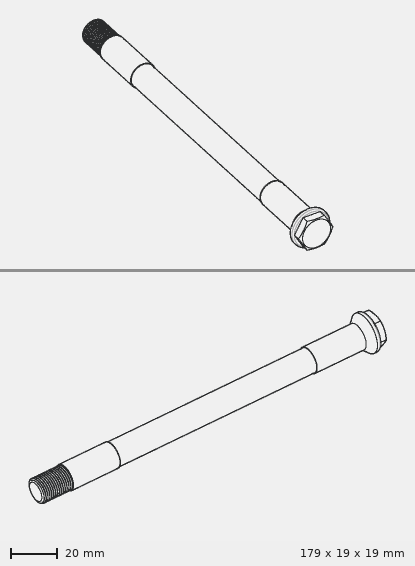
import cadquery as cq
import math

LENGTH = 179.0
TIP_X = -LENGTH / 2
END_X = LENGTH / 2

SHANK_RADIUS = 6.3
RELIEF_RADIUS = 5.9
THREAD_LENGTH = 15.4
TIP_LAND_END = 40.1
HEAD_LAND_START = 143.5

CONE_START = 169.3
CONE_END = 173.0
FLANGE_RADIUS = 9.5
FLANGE_END = 175.0
RIM_FILLET = 0.7

HEX_ACROSS_FLATS = 15.0
HEX_BEVEL_LENGTH = 0.7
HEX_BEVEL_DEPTH = 1.6
OVERLAP = 0.9

THREAD_RADIUS = 5.9
THREAD_PITCH = 1.0
THREAD_DEPTH = 0.7
GROOVE_HALF_WIDTH = 0.41
CUTTER_OVERSHOOT = 0.09
TIP_CHAMFER_LENGTH = 0.9
TIP_CHAMFER_DEPTH = 1.8


def make_body():
    """Revolve the shank and conical flange as one stepped profile."""
    thread_end = TIP_X + THREAD_LENGTH
    relief_start = TIP_X + TIP_LAND_END
    relief_end = TIP_X + HEAD_LAND_START
    cone_start = TIP_X + CONE_START
    cone_end = TIP_X + CONE_END
    flange_end = TIP_X + FLANGE_END
    profile = [
        (thread_end, 0),
        (thread_end, SHANK_RADIUS),
        (relief_start, SHANK_RADIUS),
        (relief_start, RELIEF_RADIUS),
        (relief_end, RELIEF_RADIUS),
        (relief_end, SHANK_RADIUS),
        (cone_start, SHANK_RADIUS),
        (cone_end, FLANGE_RADIUS),
        (flange_end, FLANGE_RADIUS),
        (flange_end, 0),
    ]
    body = cq.Workplane("XZ").polyline(profile).close().revolve(360, (0, 0, 0), (1, 0, 0))
    return body.faces(">X").edges().fillet(RIM_FILLET)


def make_hex_head():
    """Hexagon with flats facing +Z and -Z, its end corners turned to a cone."""
    across_corners = HEX_ACROSS_FLATS / math.cos(math.pi / 6)
    corner_radius = across_corners / 2
    start = TIP_X + FLANGE_END - OVERLAP
    hexagon = (
        cq.Workplane("YZ", origin=(start, 0, 0))
        .polygon(6, across_corners)
        .extrude(END_X - start)
    )
    envelope = (
        cq.Workplane("XY")
        .moveTo(start, 0)
        .lineTo(start, corner_radius)
        .lineTo(END_X - HEX_BEVEL_LENGTH, corner_radius)
        .lineTo(END_X, corner_radius - HEX_BEVEL_DEPTH)
        .lineTo(END_X, 0)
        .close()
        .revolve(360, (0, 0, 0), (1, 0, 0))
    )
    return hexagon.intersect(envelope)


def make_thread_groove():
    """Helical V cutter that enters ahead of the tip and stops at the first land."""
    start = TIP_X - THREAD_PITCH
    height = THREAD_LENGTH + THREAD_PITCH - GROOVE_HALF_WIDTH
    path = cq.Wire.makeHelix(
        THREAD_PITCH, height, THREAD_RADIUS, cq.Vector(0, 0, 0), cq.Vector(0, 0, 1)
    )
    outer = THREAD_RADIUS + CUTTER_OVERSHOOT
    half_width = GROOVE_HALF_WIDTH * (1 + CUTTER_OVERSHOOT / THREAD_DEPTH)
    cutter = (
        cq.Workplane("XZ")
        .moveTo(outer, -half_width)
        .lineTo(THREAD_RADIUS - THREAD_DEPTH, 0)
        .lineTo(outer, half_width)
        .close()
        .sweep(cq.Workplane(obj=path), isFrenet=True)
    )
    return cutter.rotate((0, 0, 0), (0, 1, 0), 90).translate((start, 0, 0))


def make_threaded_tip():
    """Cut the thread into a plain rod, then bevel its free end."""
    rod = (
        cq.Workplane("YZ", origin=(TIP_X, 0, 0))
        .circle(THREAD_RADIUS)
        .extrude(THREAD_LENGTH + OVERLAP)
    )
    threaded = rod.cut(make_thread_groove())
    envelope = (
        cq.Workplane("YZ", origin=(TIP_X, 0, 0))
        .circle(SHANK_RADIUS)
        .extrude(THREAD_LENGTH + OVERLAP)
        .faces("<X")
        .chamfer(TIP_CHAMFER_LENGTH, TIP_CHAMFER_DEPTH)
    )
    return threaded.intersect(envelope)


bolt = make_body().union(make_hex_head()).union(make_threaded_tip())
result = cq.Workplane(bolt.solids().val())